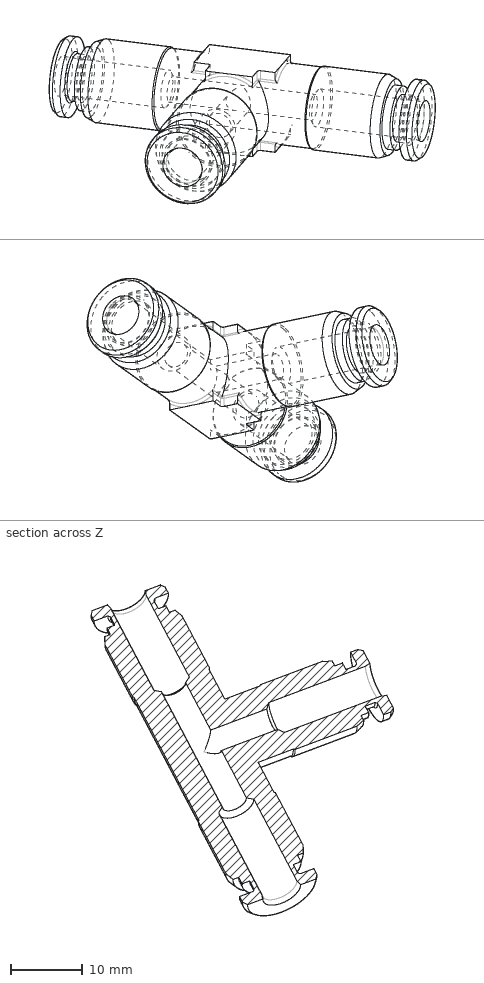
import cadquery as cq


arm_length = 26.85
sleeve_start = 11.15
sleeve_end = 22.2
sleeve_step = 0.2
sleeve_taper_length = 1.3
collar_end = 23.35
flange_start = 25.1
flange_chamfer_length = 0.65

sleeve_radius = 5.95
body_radius = 5.8
sleeve_nose_radius = 5.4
collar_radius = 4.55
neck_radius = 3.4
neck_flare = 0.25
flange_radius = 5.75
flange_face_radius = 5.25

mouth_radius = 2.9
seat_radius = 2.7
passage_radius = 1.8
countersink_depth = 0.8
seat_end = sleeve_start
stop_cone_length = 0.65

pad_height = 6.05
pad_half_length = 6.0
pad_half_width = 3.5
pad_tab_end = 6.0
pad_corner_radius = 0.4
pad_base_fillet = 0.4
pad_trim = 1.1


def revolved_arm(profile, direction):
    """Revolve (distance along arm, radius) points about an arm, closed along its axis."""
    first_distance = profile[0][0]
    last_distance = profile[-1][0]
    points = [(first_distance, 0)] + profile + [(last_distance, 0)]
    along_x = cq.Workplane("XY").polyline(points).close().revolve(360, (0, 0, 0), (1, 0, 0))
    return along_x.rotate((0, 0, 0), (0, 0, 1), direction)


def body_core():
    """Plain central tee: two crossing cylinders that meet in mitred creases."""
    run = cq.Workplane("YZ").circle(body_radius).extrude(sleeve_start, both=True)
    branch = cq.Workplane("XZ").circle(body_radius).extrude(sleeve_start)
    return run.union(branch)


def label_pad():
    """T-shaped block through the full height of the body, with rounded inner corners."""
    outline = [
        (-pad_half_length, pad_half_width),
        (pad_half_length, pad_half_width),
        (pad_half_length, -pad_half_width),
        (pad_half_width, -pad_half_width),
        (pad_half_width, -pad_tab_end),
        (-pad_half_width, -pad_tab_end),
        (-pad_half_width, -pad_half_width),
        (-pad_half_length, -pad_half_width),
    ]
    pad = cq.Workplane("XY").polyline(outline).close().extrude(pad_height + pad_trim, both=True)
    inner_corners = cq.selectors.BoxSelector(
        (-pad_half_width - pad_corner_radius, -pad_half_width - pad_corner_radius, -pad_height),
        (pad_half_width + pad_corner_radius, -pad_half_width + pad_corner_radius, pad_height),
    )
    return pad.edges("|Z").edges(inner_corners).fillet(pad_corner_radius)


def body_with_pad():
    """Central tee with the pad blended into it and trimmed flat at its final height."""
    body = body_core().union(label_pad())
    reach = pad_half_length + pad_base_fillet
    for side in (-1, 1):
        foot_region = cq.selectors.BoxSelector(
            (-reach, -reach, side * pad_half_width),
            (reach, reach, side * body_radius),
        )
        curved_foot = body.edges(foot_region).edges("not |Z")
        body = curved_foot.fillet(pad_base_fillet)
    flat_slab = cq.Workplane("XY").box(2 * arm_length, 2 * arm_length, 2 * pad_height)
    return body.intersect(flat_slab)


end_profile = [
    (0, body_radius),
    (sleeve_start, body_radius),
    (sleeve_start + sleeve_step, sleeve_radius),
    (sleeve_end - sleeve_taper_length, sleeve_radius),
    (sleeve_end, sleeve_nose_radius),
    (sleeve_end, collar_radius),
    (collar_end, collar_radius),
    (collar_end, neck_radius),
    (flange_start - neck_flare, neck_radius),
    (flange_start, neck_radius + neck_flare),
    (flange_start, flange_radius),
    (arm_length - flange_chamfer_length, flange_radius),
    (arm_length, flange_face_radius),
]

bore_profile = [
    (0, passage_radius),
    (seat_end - stop_cone_length, passage_radius),
    (seat_end, seat_radius),
    (arm_length - countersink_depth, seat_radius),
    (arm_length, mouth_radius),
]

arm_directions = (0, 180, -90)

result = body_with_pad()
for direction in arm_directions:
    result = result.union(revolved_arm(end_profile, direction))
for direction in arm_directions:
    result = result.cut(revolved_arm(bore_profile, direction))